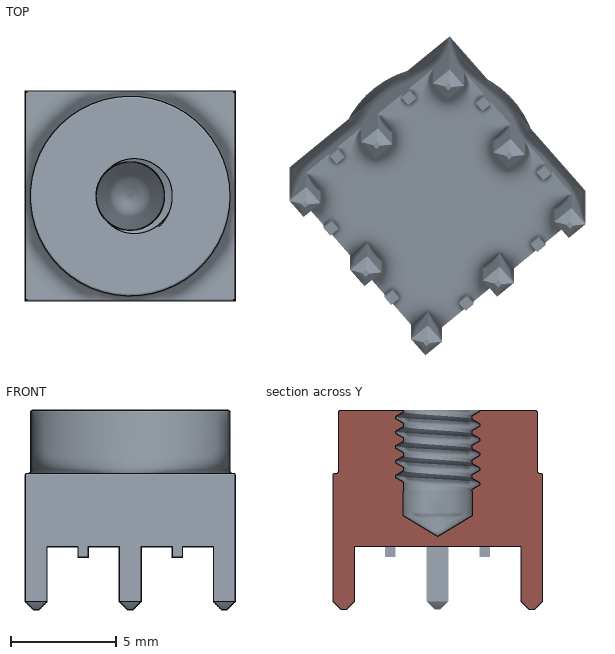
import cadquery as cq
import math

SIDE = 10.0
BASE_HEIGHT = 3.0
COVER_HEIGHT = 0.5
BODY_HEIGHT = BASE_HEIGHT + COVER_HEIGHT
COVER_FILLET = 0.1

BOSS_DIAMETER = 9.5
BOSS_HEIGHT = 3.0
BOSS_FILLET = 0.1
TOP_Z = BODY_HEIGHT + BOSS_HEIGHT

PIN_WIDTH = 1.05
PIN_LENGTH = 3.0
PIN_TIP_HEIGHT = 0.4
PIN_TIP_WIDTH = 0.25
PIN_PITCH = (SIDE - PIN_WIDTH) / 2

STANDOFF_WIDTH = 0.5
STANDOFF_HEIGHT = 0.5
STANDOFF_EDGE_POSITION = (SIDE - STANDOFF_WIDTH) / 2
STANDOFF_OFFSET = PIN_PITCH / 2

INSERT_DIAMETER = 4.4
INSERT_LENGTH = 6.2

DRILL_DIAMETER = 3.3
DRILL_DEPTH = 5.0
DRILL_POINT_ANGLE = 118.0
THREAD_DIAMETER = 4.0
THREAD_PITCH = 0.7
THREAD_TURNS = 5
THREAD_DEPTH = THREAD_TURNS * THREAD_PITCH
THREAD_HALF_ANGLE = 30.0
CREST_FLAT = THREAD_PITCH / 4
ROOT_FLAT = THREAD_PITCH / 8
FLANK_WIDTH = (THREAD_PITCH - CREST_FLAT - ROOT_FLAT) / 2
FLANK_SLOPE = math.tan(math.radians(THREAD_HALF_ANGLE))
ROOT_RADIUS = THREAD_DIAMETER / 2
CREST_RADIUS = ROOT_RADIUS - FLANK_WIDTH / FLANK_SLOPE
GROOVE_OVERLAP = 0.05


def make_base():
    return cq.Workplane("XY").box(SIDE, SIDE, BASE_HEIGHT, centered=(True, True, False))


def make_cover():
    return (
        cq.Workplane("XY", origin=(0, 0, BASE_HEIGHT))
        .box(SIDE, SIDE, COVER_HEIGHT, centered=(True, True, False))
        .faces(">Z")
        .edges()
        .fillet(COVER_FILLET)
    )


def make_boss():
    """Boss turned about Z, with a rounded rim and a flared foot."""
    radius = BOSS_DIAMETER / 2
    mid_offset = BOSS_FILLET * (1 - math.sqrt(0.5))
    foot_z = BODY_HEIGHT + BOSS_FILLET
    rim_z = TOP_Z - BOSS_FILLET
    return (
        cq.Workplane("XZ")
        .moveTo(0, BODY_HEIGHT)
        .lineTo(radius + BOSS_FILLET, BODY_HEIGHT)
        .threePointArc((radius + mid_offset, BODY_HEIGHT + mid_offset), (radius, foot_z))
        .lineTo(radius, rim_z)
        .threePointArc((radius - mid_offset, TOP_Z - mid_offset), (radius - BOSS_FILLET, TOP_Z))
        .lineTo(0, TOP_Z)
        .close()
        .revolve(360, (0, 0), (0, 1))
    )


def make_pin(x, y):
    shank_length = PIN_LENGTH - PIN_TIP_HEIGHT
    shank = cq.Workplane("XY", origin=(x, y, 0)).rect(PIN_WIDTH, PIN_WIDTH).extrude(-shank_length)
    tip = (
        cq.Workplane("XY", origin=(x, y, -shank_length))
        .rect(PIN_WIDTH, PIN_WIDTH)
        .workplane(offset=-PIN_TIP_HEIGHT)
        .rect(PIN_TIP_WIDTH, PIN_TIP_WIDTH)
        .loft(ruled=True)
    )
    return shank.union(tip)


def make_standoff(x, y):
    return (
        cq.Workplane("XY", origin=(x, y, 0))
        .rect(STANDOFF_WIDTH, STANDOFF_WIDTH)
        .extrude(-STANDOFF_HEIGHT)
    )


def make_insert():
    return (
        cq.Workplane("XY", origin=(0, 0, TOP_Z))
        .circle(INSERT_DIAMETER / 2)
        .extrude(-INSERT_LENGTH)
    )


def make_hole():
    """Bore at the crest diameter, opening to the drill diameter below the thread."""
    drill_radius = DRILL_DIAMETER / 2
    point_height = drill_radius / math.tan(math.radians(DRILL_POINT_ANGLE / 2))
    floor_z = TOP_Z - DRILL_DEPTH
    step_z = TOP_Z - THREAD_DEPTH - THREAD_PITCH / 2
    return (
        cq.Workplane("XZ")
        .polyline([
            (0, TOP_Z),
            (CREST_RADIUS, TOP_Z),
            (CREST_RADIUS, step_z),
            (drill_radius, step_z),
            (drill_radius, floor_z),
            (0, floor_z - point_height),
        ])
        .close()
        .revolve(360, (0, 0), (0, 1))
    )


def make_thread_groove():
    """Right-hand helical V groove that runs out through the top face."""
    inner_radius = CREST_RADIUS - GROOVE_OVERLAP
    root_half_width = ROOT_FLAT / 2
    inner_half_width = root_half_width + (ROOT_RADIUS - inner_radius) * FLANK_SLOPE
    start_z = TOP_Z - THREAD_DEPTH
    run_length = THREAD_DEPTH + THREAD_PITCH
    helix = cq.Wire.makeHelix(
        THREAD_PITCH, run_length, CREST_RADIUS, center=cq.Vector(0, 0, start_z)
    )
    return (
        cq.Workplane("XZ", origin=(0, 0, start_z))
        .polyline([
            (inner_radius, -inner_half_width),
            (ROOT_RADIUS, -root_half_width),
            (ROOT_RADIUS, root_half_width),
            (inner_radius, inner_half_width),
        ])
        .close()
        .sweep(cq.Workplane(obj=helix), isFrenet=True)
    )


def make_threaded_insert():
    """Insert with its thread; the groove is cut before the bore opens it up."""
    return make_insert().cut(make_thread_groove(), clean=False).cut(make_hole(), clean=False)


base = make_base()
for side in (-1, 1):
    for along in (-1, 1):
        edge = side * STANDOFF_EDGE_POSITION
        offset = along * STANDOFF_OFFSET
        base = base.union(make_standoff(edge, offset))
        base = base.union(make_standoff(offset, edge))

result = base.union(make_cover(), clean=False).union(make_boss(), clean=False)

for column in (-1, 0, 1):
    for row in (-1, 0, 1):
        if column or row:
            pin = make_pin(column * PIN_PITCH, row * PIN_PITCH)
            result = result.union(pin, clean=False)

result = result.cut(make_insert(), clean=False).union(make_threaded_insert(), clean=False)